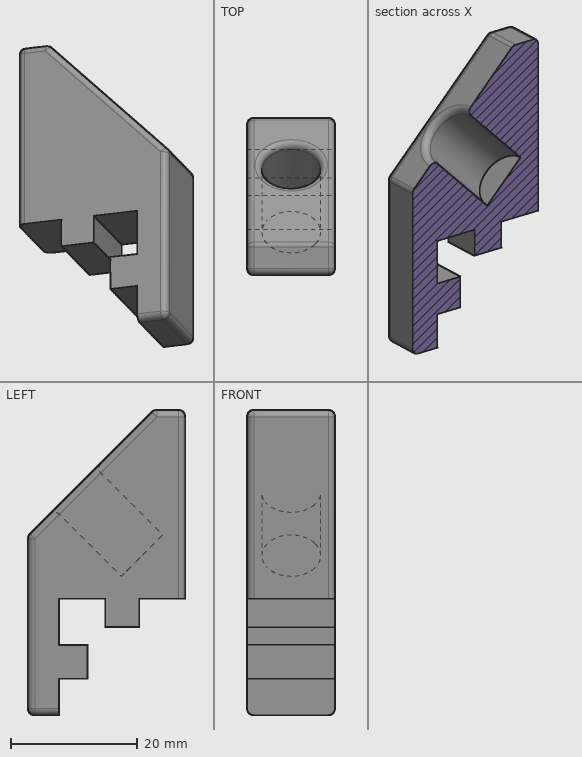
import cadquery as cq
import math

WIDTH = 14.0
DEPTH = 25.0
HEIGHT = 48.5
TOP_FLAT = 5.0
EDGE_RADIUS = 1.1

LEG_THICKNESS = 5.0
NOTCH_HEIGHT = 18.5

TAB_CENTER = 10.0
TAB_WIDTH = 5.4
TAB_LENGTH = 4.5

HOLE_DIAMETER = 9.3
HOLE_DEPTH = 15.0
MOUTH_RADIUS = EDGE_RADIUS
HOLE_Y = 17.5

CORNER_Y = DEPTH - LEG_THICKNESS
CORNER_Z = NOTCH_HEIGHT
SLOPE_END_Z = HEIGHT - (DEPTH - TOP_FLAT)
HOLE_Z = HEIGHT - (HOLE_Y - TOP_FLAT)


def box_between(y_min, y_max, z_min, z_max):
    """Full-width box, centred on X, between the given Y and Z limits."""
    return (
        cq.Workplane("XY")
        .box(WIDTH, y_max - y_min, z_max - z_min, centered=(True, False, False))
        .translate((0, y_min, z_min))
    )


def rounded_block():
    """Five-sided block with a sloped back top and every edge rounded."""
    outline = [
        (0, 0),
        (DEPTH, 0),
        (DEPTH, SLOPE_END_Z),
        (TOP_FLAT, HEIGHT),
        (0, HEIGHT),
    ]
    block = cq.Workplane("YZ").polyline(outline).close().extrude(WIDTH / 2, both=True)
    return block.edges().fillet(EDGE_RADIUS)


def horizontal_tab():
    """Tab on the leg, pointing toward -Y."""
    middle = CORNER_Z - TAB_CENTER
    return box_between(
        CORNER_Y - TAB_LENGTH, CORNER_Y, middle - TAB_WIDTH / 2, middle + TAB_WIDTH / 2
    )


def hanging_tab():
    """Tab on the notch ceiling, pointing down."""
    middle = CORNER_Y - TAB_CENTER
    return box_between(
        middle - TAB_WIDTH / 2, middle + TAB_WIDTH / 2, CORNER_Z - TAB_LENGTH, CORNER_Z
    )


def hole_cutter():
    """Solid of the blind hole, flared by a quarter round where it meets the slope."""
    radius = HOLE_DIAMETER / 2
    arc_reach = MOUTH_RADIUS * (1 - math.sqrt(0.5))
    profile = (
        cq.Workplane("XY")
        .moveTo(0, -HOLE_DEPTH)
        .lineTo(radius, -HOLE_DEPTH)
        .lineTo(radius, -MOUTH_RADIUS)
        .threePointArc((radius + arc_reach, -arc_reach), (radius + MOUTH_RADIUS, 0))
        .lineTo(0, 0)
        .close()
    )
    cutter = profile.revolve(360, (0, 0, 0), (0, 1, 0))
    return cutter.rotate((0, 0, 0), (1, 0, 0), 45).translate((0, HOLE_Y, HOLE_Z))


notch = box_between(0, CORNER_Y, 0, CORNER_Z)
result = (
    rounded_block()
    .cut(notch)
    .union(horizontal_tab())
    .union(hanging_tab())
    .cut(hole_cutter())
)